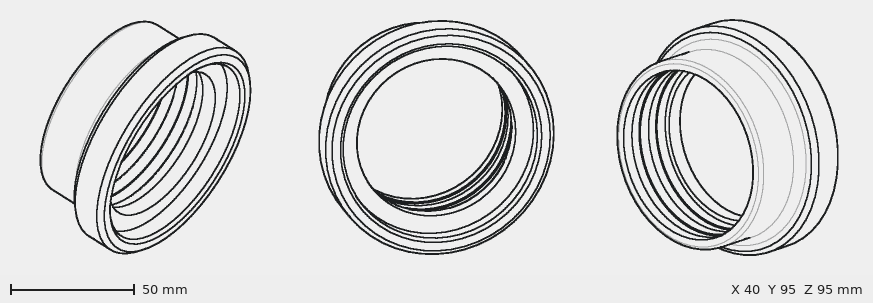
import cadquery as cq
import math

length = 40.0
flange_diameter = 95.0
flange_start = 23.9
flange_chamfer_length = 2.3
front_chamfer_depth = 2.1
sleeve_diameter = 79.0
sleeve_end_rounding = 1.5
neck_fillet = 4.0
flange_face_slope = math.radians(10)

bore_diameter = 70.3
groove_diameter = 71.5
groove_width = 5.0
groove_starts = (groove_width, 3 * groove_width)
shoulder_position = 5 * groove_width
throat_diameter = 66.0
counterbore_diameter = 80.8
counterbore_depth = 8.2
counterbore_chamfer = 1.4


def cylinder(diameter, start, end):
    """Cylinder about the X axis between two axial positions."""
    return cq.Workplane("YZ").workplane(offset=start).circle(diameter / 2).extrude(end - start)


def outer_body():
    """Solid sleeve and flange, turned from half of their outline."""
    flange_radius = flange_diameter / 2
    sleeve_radius = sleeve_diameter / 2
    chamfer_radius = flange_radius - front_chamfer_depth
    rounding_middle = sleeve_end_rounding * (1 - 0.5**0.5)
    fillet_end_radius = sleeve_radius + neck_fillet * (1 - math.sin(flange_face_slope))
    fillet_end = flange_start - (chamfer_radius - fillet_end_radius) * math.tan(flange_face_slope)
    fillet_start = fillet_end - neck_fillet * math.cos(flange_face_slope)
    fillet_middle = neck_fillet * 0.5**0.5
    return (
        cq.Workplane("XY")
        .moveTo(0, 0)
        .lineTo(0, sleeve_radius - sleeve_end_rounding)
        .threePointArc(
            (rounding_middle, sleeve_radius - rounding_middle),
            (sleeve_end_rounding, sleeve_radius),
        )
        .lineTo(fillet_start, sleeve_radius)
        .threePointArc(
            (fillet_start + fillet_middle, sleeve_radius + neck_fillet - fillet_middle),
            (fillet_end, fillet_end_radius),
        )
        .lineTo(flange_start, chamfer_radius)
        .lineTo(flange_start + flange_chamfer_length, flange_radius)
        .lineTo(length - flange_chamfer_length, flange_radius)
        .lineTo(length, chamfer_radius)
        .lineTo(length, 0)
        .close()
        .revolve(360, (0, 0, 0), (1, 0, 0))
    )


def inner_cavity():
    """Stepped bore with two shallow grooves and a counterbore in the flange end."""
    cavity = cylinder(throat_diameter, 0, length)
    cavity = cavity.union(cylinder(bore_diameter, 0, shoulder_position))
    for start in groove_starts:
        cavity = cavity.union(cylinder(groove_diameter, start, start + groove_width))
    return cavity.union(cylinder(counterbore_diameter, length - counterbore_depth, length))


ring = outer_body().cut(inner_cavity())
counterbore_rim = ring.faces(">X").edges(cq.selectors.RadiusNthSelector(0))
result = counterbore_rim.chamfer(counterbore_chamfer)